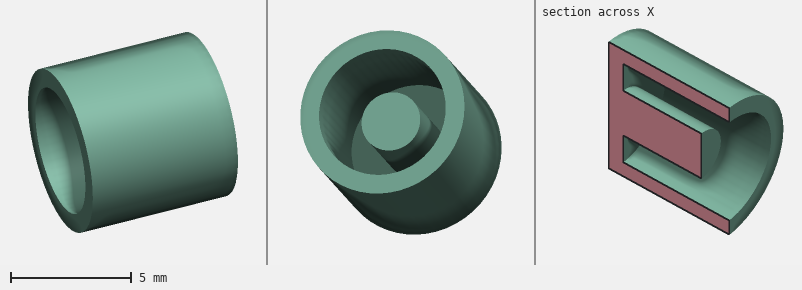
import cadquery as cq

outer_diameter = 7.0
length = 6.5
bore_diameter = 5.4
pin_diameter = 2.5
pin_recess = 1.5

floor_thickness = (outer_diameter - bore_diameter) / 2


def cylinder_from_closed_end(diameter, start, end):
    """Cylinder on the Y axis, with start and end measured from the closed end toward -Y."""
    closed_end = cq.Workplane("XZ", origin=(0, length / 2, 0))
    return closed_end.workplane(offset=start).circle(diameter / 2).extrude(end - start)


body = cylinder_from_closed_end(outer_diameter, 0, length)
bore = cylinder_from_closed_end(bore_diameter, floor_thickness, length)

pin = cylinder_from_closed_end(pin_diameter, 0, length - pin_recess)

result = body.cut(bore).union(pin)